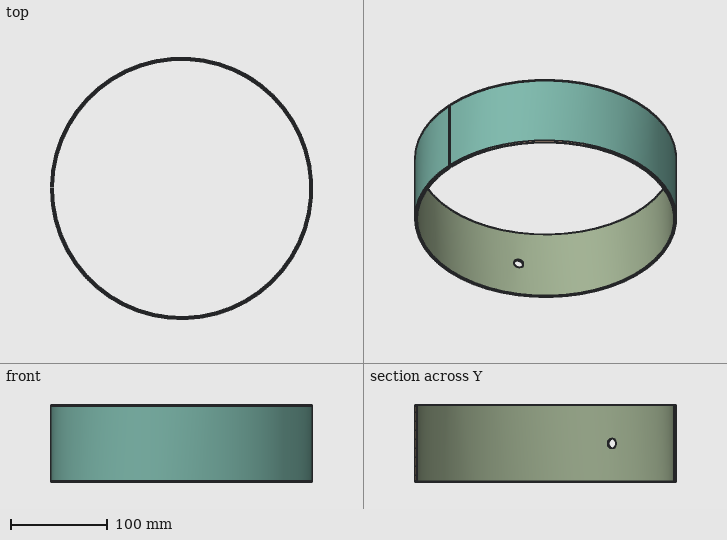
import cadquery as cq
import math

outer_diameter = 270.0
wall = 2.5
height = 80.0

outer_bevel_height = 1.8
outer_bevel_angle = 20.0

inner_chamfer = 0.8

slit_angle = 1.0

hole_diameter = 10.0
hole_angle_from_slit = 120.0
hole_height = height / 2

outer_radius = outer_diameter / 2
inner_radius = outer_radius - wall
outer_bevel_depth = outer_bevel_height * math.tan(math.radians(outer_bevel_angle))
hole_azimuth = 180 - slit_angle - hole_angle_from_slit


def split_ring():
    """Revolve the bevelled wall section about Z, from one slit edge round to the other."""
    rim_outer_radius = outer_radius - outer_bevel_depth
    rim_inner_radius = inner_radius + inner_chamfer
    section = [
        (-inner_radius, inner_chamfer),
        (-rim_inner_radius, 0),
        (-rim_outer_radius, 0),
        (-outer_radius, outer_bevel_height),
        (-outer_radius, height - outer_bevel_height),
        (-rim_outer_radius, height),
        (-rim_inner_radius, height),
        (-inner_radius, height - inner_chamfer),
    ]
    profile = cq.Workplane("XZ").polyline(section).close()
    return profile.revolve(360 - slit_angle, (0, 0, 0), (0, 1, 0))


def hole_cutter():
    """Radial pin reaching from the axis out past the wall."""
    pin = cq.Workplane("YZ").center(0, hole_height).circle(hole_diameter / 2).extrude(outer_diameter)
    return pin.rotate((0, 0, 0), (0, 0, 1), hole_azimuth)


result = split_ring().cut(hole_cutter())